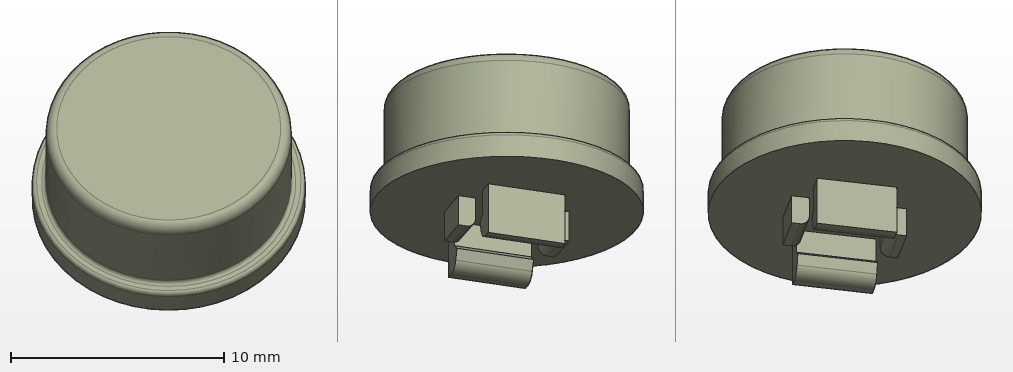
import cadquery as cq

flange_diameter = 12.8
flange_height = 1.3
body_diameter = 11.5
body_height = 4.4
crown_radius = 0.5
shoulder_radius = 0.2

leg_outer_offset = 2.75
leg_thickness = 0.85
leg_inner_offset = leg_outer_offset - leg_thickness

hook_leg_width = 2 * leg_inner_offset
hook_leg_length = 2.5
hook_tip_height = 1.0
hook_shoulder_height = 1.27
hook_overhang = 0.32
hook_nose_radius = 0.67

plain_leg_width = 1.98
plain_leg_length = 1.5
plain_leg_nose_radius = 0.45



def make_cap():
    """Flange and body as one solid, with rounded crown, foot and flange rim."""
    flange = cq.Workplane("XY").circle(flange_diameter / 2).extrude(flange_height)
    cap = flange.faces(">Z").workplane().circle(body_diameter / 2).extrude(body_height)
    cap = cap.faces(">Z").edges().fillet(crown_radius)
    shoulder = cap.faces(cq.selectors.NearestToPointSelector((0, 0, flange_height)))
    return shoulder.edges().fillet(shoulder_radius)


def make_hook_leg():
    """Long leg on the +Y side, with an inward hook and a rounded nose."""
    bottom = -hook_leg_length
    leg = (
        cq.Workplane("YZ")
        .moveTo(leg_outer_offset, 0)
        .lineTo(leg_outer_offset, bottom)
        .lineTo(leg_inner_offset, bottom)
        .lineTo(leg_inner_offset - hook_overhang, bottom + hook_tip_height)
        .lineTo(leg_inner_offset, bottom + hook_shoulder_height)
        .lineTo(leg_inner_offset, 0)
        .close()
        .extrude(hook_leg_width / 2, both=True)
    )
    return leg.faces("<Z").edges("<Y").fillet(hook_nose_radius)


def make_plain_leg():
    """Short leg on the +X side, with its inner bottom edge rounded."""
    leg = cq.Workplane("XY").box(
        leg_thickness, plain_leg_width, plain_leg_length, centered=(False, True, False)
    )
    leg = leg.translate((leg_inner_offset, 0, -plain_leg_length))
    return leg.faces("<Z").edges("<X").fillet(plain_leg_nose_radius)


result = make_cap()
for leg in (make_hook_leg(), make_plain_leg()):
    opposite_leg = leg.rotate((0, 0, 0), (0, 0, 1), 180)
    result = result.union(leg).union(opposite_leg)